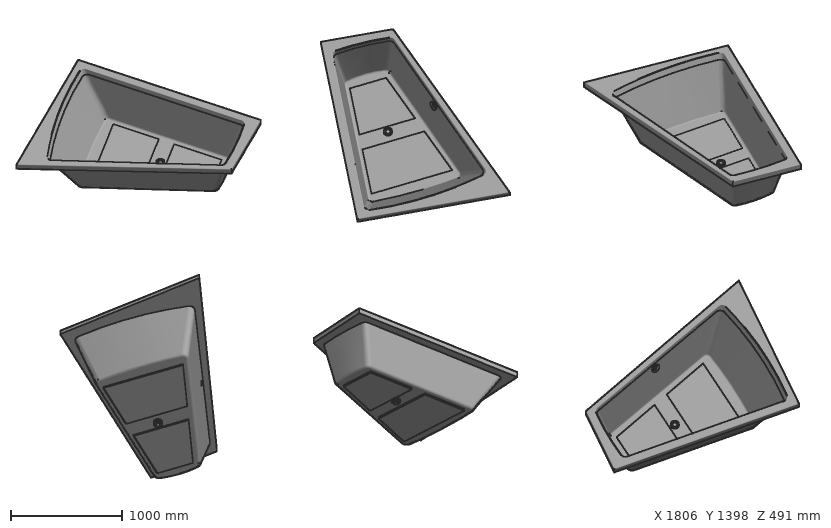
import cadquery as cq

RIM_CORNERS = [(13.0, 0.0), (1806.0, 737.0), (1800.0, 1398.0), (0.0, 1398.0)]
RIM_HEIGHT = 58.0
RIM_ROUND = 7.0

FRONT_SLOPE = 0.4
TOP_FRONT_LEFT = (240.0, 165.0)
TOP_FRONT_RIGHT_X = 1723.0
FLOOR_FRONT_LEFT = (462.0, 352.0)
FLOOR_FRONT_RIGHT_X = 1620.0


def front_wall_point(left_corner, x):
    """Plan point at x on the slanted front wall that starts at left_corner."""
    left_x, left_y = left_corner
    return (x, left_y + FRONT_SLOPE * (x - left_x))


TOP_POINTS = {
    "front_left": TOP_FRONT_LEFT,
    "front_right": front_wall_point(TOP_FRONT_LEFT, TOP_FRONT_RIGHT_X),
    "right_mid": (1709.0, 1118.0),
    "back_right": (1678.0, 1318.0),
    "back_left": (72.0, 1318.0),
    "left_mid": (108.0, 710.0),
}
FLOOR_POINTS = {
    "front_left": FLOOR_FRONT_LEFT,
    "front_right": front_wall_point(FLOOR_FRONT_LEFT, FLOOR_FRONT_RIGHT_X),
    "right_mid": (1615.0, 1037.0),
    "back_right": (1568.0, 1226.0),
    "back_left": (358.0, 1226.0),
    "left_mid": (392.0, 753.0),
}
WALL = 9.0
BASIN_DEPTH = 450.0
CORNER_RADIUS = 42.0
FLOOR_FILLET = 18.0
LIP_ROUND = 5.0
UNDERSIDE_DEPTH = BASIN_DEPTH + WALL

PLATE_THICKNESS = 16.0
PLATE_BOTTOM_DEPTH = UNDERSIDE_DEPTH + PLATE_THICKNESS
PLATE_BACK_Y = 1188.0
PLATE_FRONT_LEFT = (538.0, 432.0)
PLATE_LEAN = 0.13
LEFT_PLATE_RIGHT_X = 965.0
RIGHT_PLATE_LEFT_X = 1107.0
RIGHT_PLATE_RIGHT_X = 1551.0

CAP_SHOULDER = 5.0
CAP_DOME_HEIGHT = 4.0

DRAIN_CENTRE = (1019.0, 930.0)
DRAIN_CAP_DIAMETER = 74.0
DRAIN_CAP_SIDE_HEIGHT = 5.0
DRAIN_FLANGE_DIAMETER = 75.0
DRAIN_PIPE_DIAMETER = 43.0
DRAIN_BOTTOM_DEPTH = 491.0

OVERFLOW_DEPTH = 101.0
OVERFLOW_X = 1035.0
OVERFLOW_CAP_DIAMETER = 80.0
OVERFLOW_CAP_SIDE_HEIGHT = 15.0
OVERFLOW_HOLE_DIAMETER = 42.0
OVERFLOW_HOLE_REACH = 2 * WALL
OVERFLOW_RECESS_DEPTH = 5.0
OVERFLOW_SOCKET_DIAMETER = 15.0
OVERFLOW_SOCKET_DEPTH = 4.0


def basin_points(depth):
    """Plan points of the inner wall surface at a depth below the rim top."""
    share = depth / BASIN_DEPTH
    points = {}
    for name, (top_x, top_y) in TOP_POINTS.items():
        floor_x, floor_y = FLOOR_POINTS[name]
        points[name] = (top_x + share * (floor_x - top_x), top_y + share * (floor_y - top_y))
    return points


def basin_section(depth, outset):
    """Closed wire of the basin wall at a depth, moved outward by outset."""
    p = basin_points(depth)
    outline = (
        cq.Workplane("XY")
        .moveTo(*p["front_left"])
        .lineTo(*p["front_right"])
        .threePointArc(p["right_mid"], p["back_right"])
        .lineTo(*p["back_left"])
        .threePointArc(p["left_mid"], p["front_left"])
        .close()
        .val()
    )
    wire = outline.fillet2D(CORNER_RADIUS, outline.Vertices())
    if outset > 0:
        wire = wire.offset2D(outset, "arc")[0]
    return wire.translate(cq.Vector(0, 0, -depth))


def basin_solid(depth, outset, floor_fillet):
    """Solid basin shape, from the rim top down to a depth, with a rounded floor edge."""
    loft = cq.Solid.makeLoft([basin_section(0, outset), basin_section(depth, outset)], True)
    return cq.Workplane(loft).faces("<Z").edges().fillet(floor_fillet)


def overflow_plane():
    """Plane on the slanted inner front wall, with its normal pointing into the basin."""
    left_x, left_y = basin_points(OVERFLOW_DEPTH)["front_left"]
    origin = (*front_wall_point((left_x, left_y), OVERFLOW_X), -OVERFLOW_DEPTH)
    along = cq.Vector(1, FRONT_SLOPE, 0)
    top_x, top_y = TOP_FRONT_LEFT
    up = cq.Vector(top_x - left_x, top_y - left_y, OVERFLOW_DEPTH)
    return cq.Plane(origin, along, up.cross(along))


def drain_plane(depth):
    """Workplane across the drain axis at a depth."""
    return cq.Workplane("XY", origin=(*DRAIN_CENTRE, -depth))


def domed_cap(plane, diameter, side_height):
    """Round cap standing on a plane: straight side, flat shoulder ring and domed middle."""
    radius = diameter / 2
    dome_radius = radius - CAP_SHOULDER
    sphere_radius = (dome_radius**2 + CAP_DOME_HEIGHT**2) / (2 * CAP_DOME_HEIGHT)
    profile_plane = cq.Plane(plane.origin, plane.xDir, -plane.yDir)
    return (
        cq.Workplane(profile_plane)
        .lineTo(radius, 0)
        .lineTo(radius, side_height)
        .lineTo(dome_radius, side_height)
        .radiusArc((0, side_height + CAP_DOME_HEIGHT), -sphere_radius)
        .close()
        .revolve(360, (0, 0, 0), (0, 1, 0))
    )


def make_tub():
    """Rim and thin-walled basin in one piece, with holes for the drain and the overflow."""
    rim = cq.Workplane("XY").polyline(RIM_CORNERS).close().extrude(-RIM_HEIGHT)
    rim = rim.faces(">Z").edges().fillet(RIM_ROUND)
    shell = basin_solid(UNDERSIDE_DEPTH, WALL, FLOOR_FILLET + WALL)
    tub = rim.union(shell).cut(basin_solid(BASIN_DEPTH, 0, FLOOR_FILLET))
    lip = tub.faces(">Z").val().innerWires()[0]
    tub = tub.newObject(lip.Edges()).fillet(LIP_ROUND)
    drain_hole = drain_plane(UNDERSIDE_DEPTH).circle(DRAIN_PIPE_DIAMETER / 2).extrude(WALL)
    overflow_hole = cq.Workplane(overflow_plane()).circle(OVERFLOW_HOLE_DIAMETER / 2)
    overflow_hole = overflow_hole.extrude(OVERFLOW_HOLE_REACH, both=True)
    return tub.cut(drain_hole).cut(overflow_hole)


def make_base_plate(front_left_x, front_right_x):
    """Flat plate under the floor; its front runs parallel to the slanted rim side."""
    (rim_left_x, rim_left_y), (rim_right_x, rim_right_y) = RIM_CORNERS[:2]
    front_slope = (rim_right_y - rim_left_y) / (rim_right_x - rim_left_x)
    start_x, start_y = PLATE_FRONT_LEFT
    front = [(x, start_y + front_slope * (x - start_x)) for x in (front_left_x, front_right_x)]
    back = [(x - PLATE_LEAN * (PLATE_BACK_Y - y), PLATE_BACK_Y) for x, y in reversed(front)]
    plane = cq.Workplane("XY").workplane(offset=-PLATE_BOTTOM_DEPTH)
    return plane.polyline(front + back).close().extrude(PLATE_THICKNESS)


def make_drain():
    """Cap on the floor, pipe through it and flange below it, on one axis."""
    pipe = drain_plane(DRAIN_BOTTOM_DEPTH).circle(DRAIN_PIPE_DIAMETER / 2)
    pipe = pipe.extrude(DRAIN_BOTTOM_DEPTH - BASIN_DEPTH)
    flange = drain_plane(PLATE_BOTTOM_DEPTH).circle(DRAIN_FLANGE_DIAMETER / 2).extrude(PLATE_THICKNESS)
    cap = domed_cap(cq.Plane((*DRAIN_CENTRE, -BASIN_DEPTH)), DRAIN_CAP_DIAMETER, DRAIN_CAP_SIDE_HEIGHT)
    return pipe.union(flange).union(cap)


def make_overflow():
    """Cap on the front wall, with a stepped recess in its back at the wall hole."""
    wall_face = cq.Workplane(overflow_plane())
    recess = wall_face.circle(OVERFLOW_HOLE_DIAMETER / 2).extrude(OVERFLOW_RECESS_DEPTH)
    socket = wall_face.circle(OVERFLOW_SOCKET_DIAMETER / 2)
    socket = socket.extrude(OVERFLOW_RECESS_DEPTH + OVERFLOW_SOCKET_DEPTH)
    cap = domed_cap(overflow_plane(), OVERFLOW_CAP_DIAMETER, OVERFLOW_CAP_SIDE_HEIGHT)
    return cap.cut(recess).cut(socket)


tub = make_tub()
left_base_plate = make_base_plate(PLATE_FRONT_LEFT[0], LEFT_PLATE_RIGHT_X)
right_base_plate = make_base_plate(RIGHT_PLATE_LEFT_X, RIGHT_PLATE_RIGHT_X)
drain = make_drain()
overflow = make_overflow()

result = cq.Compound.makeCompound(
    [tub.val(), left_base_plate.val(), right_base_plate.val(), drain.val(), overflow.val()]
)